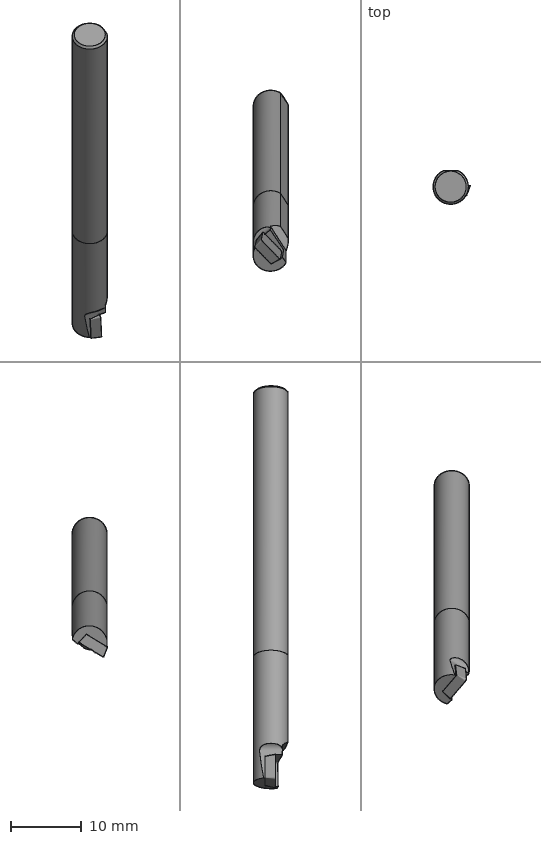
import cadquery as cq
import math


overall_length = 61.0
head_length = 20.0
bar_radius = 2.5
flat_y = 2.27
end_chamfer = 0.3

tip_x = 2.81
tip_y = 0.15
cutting_edge_angle = 5.0
head_end_z = 0.54

relief_floor_y = 1.25
relief_floor_top_z = 5.6

insert_edge = 4.1
insert_point_angle = 80.0
insert_thickness = 1.5
insert_relief_angle = 11.0
nose_radius = 0.3
seat_tilt = 10.0

side_relief_offset = 0.44
side_relief_top_z = 5.7
side_relief_radius = 1.0

cut_reach = 4 * bar_radius

edge_slope = math.radians(cutting_edge_angle)
tilt = math.radians(seat_tilt)

rake_plane = cq.Plane(
    origin=(tip_x, tip_y, 0),
    xDir=(math.cos(tilt), -math.sin(tilt), 0),
    normal=(-math.sin(tilt), -math.cos(tilt), 0),
)


def add_flat(bar):
    """Trim a round bar to the clamping flat along its +Y side."""
    return bar.cut(
        cq.Workplane("XY")
        .box(cut_reach, cut_reach, overall_length, centered=(True, False, False))
        .translate((0, flat_y, 0))
    )


def insert_corners():
    """Sharp corners of the insert rhombus in the rake plane, starting at the cutting corner."""
    corner_distance = nose_radius / math.sin(math.radians(insert_point_angle / 2))
    corner_offset = corner_distance * math.cos(math.pi / 4) - nose_radius
    along_end = (-insert_edge * math.cos(edge_slope), insert_edge * math.sin(edge_slope))
    along_side = (-insert_edge * math.sin(edge_slope), insert_edge * math.cos(edge_slope))
    cutting = (corner_offset, -corner_offset)
    inner = (cutting[0] + along_end[0], cutting[1] + along_end[1])
    far = (inner[0] + along_side[0], inner[1] + along_side[1])
    upper = (cutting[0] + along_side[0], cutting[1] + along_side[1])
    return [cutting, inner, far, upper]


def rounded_rhombus(depth):
    """Insert outline with rounded corners, extruded from the rake face; positive depth is into the seat."""
    taper = insert_relief_angle if depth > 0 else 0
    corners = insert_corners()
    outline = cq.Sketch().polygon(corners + corners[:1]).vertices().fillet(nose_radius)
    return cq.Workplane(rake_plane).placeSketch(outline).extrude(depth, taper=taper)


def end_slope_cut():
    """Everything below the head end, which slopes down toward the cutting corner."""
    half = cut_reach / 2
    drop = half * math.tan(edge_slope)
    return (
        cq.Workplane("XZ")
        .polyline([(-half, head_end_z + drop), (half, head_end_z - drop), (half, -half), (-half, -half)])
        .close()
        .extrude(half, both=True)
    )


def chip_relief_cut():
    """Flat relief on the +Y side that runs out at 45 degrees."""
    half = cut_reach / 2
    runout = half - relief_floor_y
    return (
        cq.Workplane("YZ")
        .polyline([
            (relief_floor_y, -half),
            (relief_floor_y, relief_floor_top_z),
            (half, relief_floor_top_z + runout),
            (half, -half),
        ])
        .close()
        .extrude(half, both=True)
    )


def side_relief_cut():
    """Relief of the +X side behind the side cutting edge, square to the rake face, with a round top."""
    arc_start_z = side_relief_top_z - side_relief_radius
    wall_bottom_x = -side_relief_offset / math.cos(edge_slope)
    wall_top_x = wall_bottom_x - arc_start_z * math.tan(edge_slope)
    arc_middle = side_relief_radius * math.cos(math.pi / 4)
    return (
        cq.Workplane(rake_plane)
        .moveTo(wall_bottom_x, 0)
        .lineTo(wall_top_x, arc_start_z)
        .threePointArc(
            (wall_top_x + side_relief_radius - arc_middle, arc_start_z + arc_middle),
            (wall_top_x + side_relief_radius, side_relief_top_z),
        )
        .lineTo(cut_reach, side_relief_top_z)
        .lineTo(cut_reach, 0)
        .close()
        .extrude(cut_reach, both=True)
    )


def make_shank():
    """Upper bar with a chamfered end."""
    length = overall_length - head_length
    bar = cq.Workplane("XY").workplane(offset=head_length).circle(bar_radius).extrude(length)
    return add_flat(bar.faces(">Z").chamfer(end_chamfer))


def make_insert():
    """Rhombic cutting insert, tapering from the rake face to its seat."""
    return rounded_rhombus(insert_thickness)


def make_head():
    """Lower bar with its reliefs, the insert seat and the open chip space above the rake face."""
    head = add_flat(cq.Workplane("XY").circle(bar_radius).extrude(head_length))
    for cut in (end_slope_cut(), chip_relief_cut(), side_relief_cut()):
        head = head.cut(cut)
    return head.cut(rounded_rhombus(-cut_reach)).cut(make_insert())


shank = make_shank()
head = make_head()
insert = make_insert()

result = cq.Compound.makeCompound([body.solids().val() for body in (shank, head, insert)])